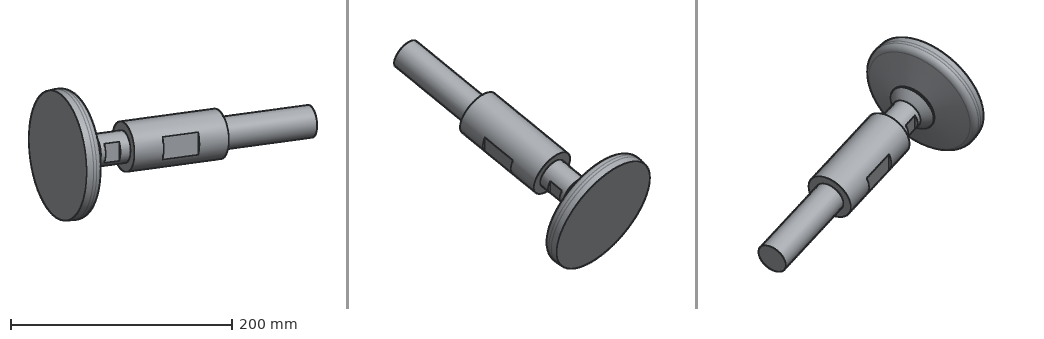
import cadquery as cq
import math

total_length = 254.0

foot_radius = 60.0
underside_radius = 59.4
edge_band_start = 6.5
edge_band_end = 9.6
shoulder_fillet = 7.0
collar_radius = 23.5
collar_start = 26.3
collar_end = 28.0

ball_top = 36.3
ball_radius = 45.0

stem_radius = 15.0
stem_flat_width = 24.0
stem_flat_start = 41.0
stem_flat_length = 15.0

sleeve_radius = 23.1
sleeve_start = 66.0
sleeve_length = 95.0
sleeve_flat_width = 41.0
sleeve_flat_length = 36.0
sleeve_flat_start = sleeve_start + (sleeve_length - sleeve_flat_length) / 2


def cylinder_along_y(radius, start, length):
    """Cylinder on the Y axis, from y = start towards +Y."""
    return cq.Workplane("XZ", origin=(0, start, 0)).circle(radius).extrude(-length)


def wrench_flats(radius, width, start, length):
    """Pair of side blocks whose removal leaves two flats facing -X and +X, the given width apart."""
    blank = cq.Workplane("XY").box(2 * radius, length, 2 * radius)
    core = cq.Workplane("XY").box(width, length, 2 * radius)
    return blank.cut(core).translate((0, start + length / 2, 0))


def make_foot():
    """Foot plate, ball and stem turned as one piece, with wrench flats on the stem."""
    fillet_center_radius = foot_radius - shoulder_fillet
    reach_radial = fillet_center_radius - collar_radius
    reach_axial = collar_start - edge_band_end
    center_to_collar = math.hypot(reach_radial, reach_axial)
    direction_to_collar = math.atan2(reach_axial, -reach_radial)
    tangent_angle = direction_to_collar - math.acos(shoulder_fillet / center_to_collar)

    def shoulder_point(angle):
        return (
            fillet_center_radius + shoulder_fillet * math.cos(angle),
            edge_band_end + shoulder_fillet * math.sin(angle),
        )

    body = (
        cq.Workplane("XY")
        .moveTo(0, 0)
        .lineTo(underside_radius, 0)
        .lineTo(foot_radius, edge_band_start)
        .lineTo(foot_radius, edge_band_end)
        .threePointArc(shoulder_point(tangent_angle / 2), shoulder_point(tangent_angle))
        .lineTo(collar_radius, collar_start)
        .lineTo(collar_radius, collar_end)
        .radiusArc((stem_radius, ball_top), -ball_radius)
        .lineTo(stem_radius, total_length)
        .lineTo(0, total_length)
        .close()
        .revolve(360, (0, 0, 0), (0, 1, 0))
    )
    return body.cut(wrench_flats(stem_radius, stem_flat_width, stem_flat_start, stem_flat_length))


def make_sleeve():
    """Sleeve bored to fit the stem, with two wrench flats at mid length."""
    body = cylinder_along_y(sleeve_radius, sleeve_start, sleeve_length)
    bore = cylinder_along_y(stem_radius, sleeve_start, sleeve_length)
    flats = wrench_flats(sleeve_radius, sleeve_flat_width, sleeve_flat_start, sleeve_flat_length)
    return body.cut(bore).cut(flats)


foot = make_foot()
sleeve = make_sleeve()

result = cq.Compound.makeCompound([foot.val(), sleeve.val()])